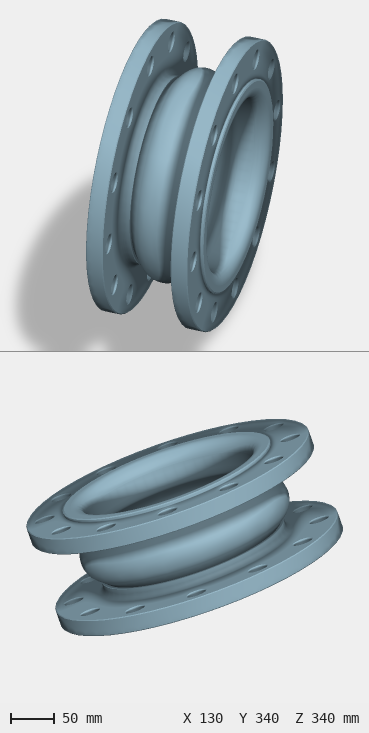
import cadquery as cq
import math

half_length = 65.0
bore_radius = 100.0
wall = 5.0
liner_radius = bore_radius + wall

flange_radius = 170.0
flange_thickness = 20.0
lip_thickness = 4.0
flange_outer_x = half_length - lip_thickness
flange_inner_x = flange_outer_x - flange_thickness
flange_chamfer = 1.0
hub_radius = 220.0 / 2
hub_end_x = 28.5
hub_fillet = 6.8

bolt_count = 12
bolt_circle_radius = 147.5
bolt_hole_radius = 22.0 / 2
bolt_hole_chamfer = 1.0

lip_diameter = 250.0
lip_radius = lip_diameter / 2
lip_chamfer_radial = 1.87
lip_chamfer_axial = 1.0
flare_radius = 15.0
back_flare_radius = flare_radius - wall

crest_radius = lip_radius
shoulder_x = 12.2
shoulder_radius = 121.7
inner_foot_x = 33.3
inner_flank_x = 22.0
inner_flank_radius = 104.7


def revolve_about_x(profile):
    """Turn a profile drawn as (x, radius) through a full circle about the X axis."""
    return profile.close().revolve(360, (0, 0, 0), (1, 0, 0))


def quarter_arc_middle(centre_x, centre_r, radius, sign_x, sign_r):
    """Point halfway along a quarter arc, in the quadrant given by the signs."""
    offset = radius * math.sqrt(0.5)
    return (centre_x + sign_x * offset, centre_r + sign_r * offset)


def make_flange(side):
    """Flange with hub and bolt circle; side is +1 for the +X end and -1 for the -X end."""
    hub_fillet_x = flange_inner_x - hub_fillet
    hub_fillet_r = hub_radius + hub_fillet
    seat_x = flange_outer_x - back_flare_radius
    seat_r = liner_radius + back_flare_radius
    fillet_middle = quarter_arc_middle(hub_fillet_x, hub_fillet_r, hub_fillet, 1, -1)
    seat_middle = quarter_arc_middle(seat_x, seat_r, back_flare_radius, 1, -1)
    profile = (
        cq.Workplane("XY")
        .moveTo(hub_end_x, liner_radius)
        .lineTo(hub_end_x, hub_radius)
        .lineTo(hub_fillet_x, hub_radius)
        .threePointArc(fillet_middle, (flange_inner_x, hub_fillet_r))
        .lineTo(flange_inner_x, flange_radius - flange_chamfer)
        .lineTo(flange_inner_x + flange_chamfer, flange_radius)
        .lineTo(flange_outer_x - flange_chamfer, flange_radius)
        .lineTo(flange_outer_x, flange_radius - flange_chamfer)
        .lineTo(flange_outer_x, seat_r)
        .threePointArc(seat_middle, (seat_x, liner_radius))
    )
    flange = revolve_about_x(profile).cut(make_bolt_holes())
    return flange if side > 0 else flange.mirror("YZ")


def make_bolt_holes():
    """Cutters for the bolt circle, widened by a chamfer at both flange faces."""
    mouth_radius = bolt_hole_radius + bolt_hole_chamfer
    cutter = (
        cq.Workplane("XY")
        .moveTo(flange_inner_x, 0)
        .lineTo(flange_inner_x, mouth_radius)
        .lineTo(flange_inner_x + bolt_hole_chamfer, bolt_hole_radius)
        .lineTo(flange_outer_x - bolt_hole_chamfer, bolt_hole_radius)
        .lineTo(flange_outer_x, mouth_radius)
        .lineTo(flange_outer_x, 0)
    )
    cutter = revolve_about_x(cutter).translate((0, 0, bolt_circle_radius))
    holes = cq.Workplane("XY")
    for index in range(bolt_count):
        holes = holes.add(cutter.rotate((0, 0, 0), (1, 0, 0), index * 360 / bolt_count))
    return holes.combine()


def mirrored(points):
    """Points of one half, up to the crest at X = 0, followed by their mirror images."""
    return points + [(-x, r) for x, r in reversed(points[:-1])]


def make_bellows():
    """One-piece liner: flared sealing lips at both ends and a single convolution between them."""
    flare_x = half_length - flare_radius
    flare_r = bore_radius + flare_radius
    back_x = flange_outer_x - back_flare_radius
    back_r = liner_radius + back_flare_radius
    flare_middle_x, flare_middle_r = quarter_arc_middle(flare_x, flare_r, flare_radius, 1, -1)
    back_middle_x, back_middle_r = quarter_arc_middle(back_x, back_r, back_flare_radius, 1, -1)

    shoulder_drop = wall * math.sqrt(0.5)
    inner_shoulder = (shoulder_x - shoulder_drop, shoulder_radius - shoulder_drop)
    outer_wave = mirrored([(-hub_end_x, liner_radius), (-shoulder_x, shoulder_radius), (0, crest_radius)])
    inner_wave = mirrored(
        [
            (inner_foot_x, bore_radius),
            (inner_flank_x, inner_flank_radius),
            inner_shoulder,
            (0, crest_radius - wall),
        ]
    )
    profile = (
        cq.Workplane("XY")
        .moveTo(-flare_x, bore_radius)
        .threePointArc((-flare_middle_x, flare_middle_r), (-half_length, flare_r))
        .lineTo(-half_length, lip_radius - lip_chamfer_radial)
        .lineTo(-half_length + lip_chamfer_axial, lip_radius)
        .lineTo(-flange_outer_x, lip_radius)
        .lineTo(-flange_outer_x, back_r)
        .threePointArc((-back_middle_x, back_middle_r), (-back_x, liner_radius))
        .lineTo(-hub_end_x, liner_radius)
        .spline(outer_wave[1:], tangents=[(1, 1), (1, -1)], includeCurrent=True)
        .lineTo(back_x, liner_radius)
        .threePointArc((back_middle_x, back_middle_r), (flange_outer_x, back_r))
        .lineTo(flange_outer_x, lip_radius)
        .lineTo(half_length - lip_chamfer_axial, lip_radius)
        .lineTo(half_length, lip_radius - lip_chamfer_radial)
        .lineTo(half_length, flare_r)
        .threePointArc((flare_middle_x, flare_middle_r), (flare_x, bore_radius))
        .lineTo(inner_foot_x, bore_radius)
        .spline(inner_wave[1:], tangents=[(-1, 0), (-1, 0)], includeCurrent=True)
    )
    return revolve_about_x(profile)


flanges = [make_flange(side) for side in (-1, 1)]
bellows = make_bellows()
result = cq.Compound.makeCompound([bellows.val(), *[flange.val() for flange in flanges]])